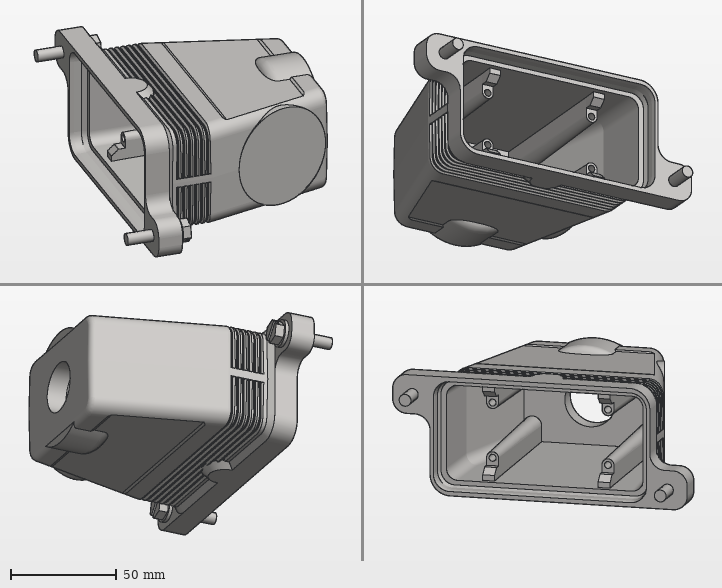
import cadquery as cq
import math

FLANGE_HALF_X = 54.3
FLANGE_HALF_Z = 29.0
FLANGE_THICKNESS = 12.0
FLANGE_CORNER = 10.0
EAR_TIP_X = 72.75
EAR_INNER_Z = 10.0
EAR_CORNER = 7.0
EAR_INNER_CORNER = 7.5

BODY_HALF_X = 51.8
BODY_HALF_Z = 26.2
BODY_FOOT_Y = 8.0
COLLAR_TOP_Y = 35.2
BODY_TOP_Y = 100.0
BODY_TOP_HALF_X = 34.0
BODY_CORNER = 7.0
BODY_TOP_FILLET = 3.0
SIDE_DRAFT = 1.0
BASE_CHAMFER = 2.8

GROOVE_COUNT = 6
GROOVE_PITCH = 3.0
FIRST_GROOVE_Y = 17.8
GROOVE_DEPTH = 1.1
GROOVE_MOUTH_HALF = 1.25
GROOVE_FLOOR_HALF = 0.25
GROOVE_WEB_HALF = 2.2

PANEL_DEPTH = 0.5
PANEL_START_Y = 43.3
PANEL_END_Y = 89.1
PANEL_BEVEL = 1.4

ENTRY_HOLE_RADIUS = 12.5
ENTRY_BOSS_RADIUS = FLANGE_HALF_Z
ENTRY_BOSS_START_Y = 76.9
ENTRY_BOSS_END_Y = 99.3
ENTRY_BOSS_FILLET = 5.7

PAD_RADIUS = 25.2
PAD_CENTRE_Y = 74.0
PAD_HEIGHT = 8.0

CONE_RADIUS = 8.0
CONE_HEIGHT = 3.5

SEAL_SECTIONS = [
    (0.0, 52.6, 26.8, 8.0),
    (2.3, 52.3, 26.4, 7.7),
    (6.0, 52.2, 26.3, 7.6),
    (8.7, 51.2, 25.5, 6.8),
]

LEDGE_Y = SEAL_SECTIONS[-1][0]
CAVITY_BEND_Y = 39.0
CEILING_Y = 90.0
CAVITY_LEDGE_HALF_X = 48.5
CAVITY_BEND_HALF_X = 46.9
CAVITY_CEILING_HALF_X = 32.7
CAVITY_LEDGE_HALF_Z = 23.2
CAVITY_CEILING_HALF_Z = 21.2
CAVITY_CORNER = 5.5

POST_X = 28.5
POST_Z = 13.5
POST_FACE_Y = 18.6
POST_RADIUS = 2.95
POST_DRAFT = 1.3
POST_HOLE_RADIUS = 1.7
POST_HOLE_DEPTH = 10.0
FOOT_END_Y = 11.6
FOOT_RAMP_Y = 15.1
FOOT_STEP_Z = 17.3
FOOT_END_Z = 20.4

SCREW_X = 63.0
SCREW_Z = (FLANGE_HALF_Z + EAR_INNER_Z) / 2
SHANK_RADIUS = 2.9
SHANK_TIP_Y = -13.0
WASHER_RADIUS = 6.65
WASHER_THICKNESS = 1.7
HEAD_ACROSS_FLATS = 10.0
HEAD_HEIGHT = 4.5
HEAD_TURN = 43.0
SLOT_TURN = 90.0
SLOT_WIDTH = 2.0
SLOT_DEPTH = 2.2


def plane_at(y, x=0.0, z=0.0):
    """Sketch plane facing +Y whose local axes are X and -Z."""
    return cq.Workplane(cq.Plane(origin=(x, y, z), xDir=(1, 0, 0), normal=(0, 1, 0)))


def box_between(x_range, y_range, z_range):
    size = [high - low for low, high in (x_range, y_range, z_range)]
    corner = (x_range[0], y_range[0], z_range[0])
    return cq.Workplane().box(*size, centered=False).translate(corner)


def rounded_section(y, half_x, half_z, radius):
    sketch = cq.Sketch().rect(2 * half_x, 2 * half_z).vertices().fillet(radius)
    return sketch.moved(cq.Location(cq.Vector(0, 0, y)))


def stacked(sections):
    """Solid ruled through rounded rectangles stacked along Y."""
    solid = None
    for lower, upper in zip(sections, sections[1:]):
        rise = upper[0] - lower[0]
        start = rounded_section(0, *lower[1:])
        end = rounded_section(rise, *upper[1:])
        layer = plane_at(lower[0]).placeSketch(start, end).loft(ruled=True)
        solid = layer if solid is None else solid.union(layer)
    return solid


def make_ear():
    """Ear on the -X, +Z corner with its concave blend into the flange side."""
    wall_x = -FLANGE_HALF_X
    outline = (
        cq.Workplane("XZ")
        .moveTo(0, FLANGE_HALF_Z)
        .lineTo(-EAR_TIP_X + EAR_CORNER, FLANGE_HALF_Z)
        .radiusArc((-EAR_TIP_X, FLANGE_HALF_Z - EAR_CORNER), -EAR_CORNER)
        .lineTo(-EAR_TIP_X, EAR_INNER_Z + EAR_CORNER)
        .radiusArc((-EAR_TIP_X + EAR_CORNER, EAR_INNER_Z), -EAR_CORNER)
        .lineTo(wall_x - EAR_INNER_CORNER, EAR_INNER_Z)
        .radiusArc((wall_x, EAR_INNER_Z - EAR_INNER_CORNER), EAR_INNER_CORNER)
        .lineTo(0, EAR_INNER_Z - EAR_INNER_CORNER)
        .close()
    )
    return outline.extrude(-FLANGE_THICKNESS)


def make_flange():
    plate = (
        plane_at(0)
        .rect(2 * FLANGE_HALF_X, 2 * FLANGE_HALF_Z)
        .extrude(FLANGE_THICKNESS)
        .edges("|Y")
        .fillet(FLANGE_CORNER)
    )
    ear = make_ear()
    opposite_ear = ear.rotate((0, 0, 0), (0, 1, 0), 180)
    return plate.union(ear).union(opposite_ear)


def make_body():
    """Hood body, drafted both ways from the parting plane Z = 0."""
    half = (
        cq.Workplane("XY")
        .moveTo(-BODY_HALF_X, BODY_FOOT_Y)
        .lineTo(BODY_HALF_X, BODY_FOOT_Y)
        .lineTo(BODY_HALF_X, COLLAR_TOP_Y)
        .lineTo(BODY_TOP_HALF_X, BODY_TOP_Y)
        .lineTo(-BODY_TOP_HALF_X, BODY_TOP_Y)
        .lineTo(-BODY_HALF_X, COLLAR_TOP_Y)
        .close()
        .extrude(BODY_HALF_Z, taper=SIDE_DRAFT)
    )
    half = half.faces(">Z").edges("not |X").fillet(BODY_CORNER)
    half = half.faces(">Y").edges("not(<Z)").fillet(BODY_TOP_FILLET)
    return half.union(half.mirror("XY"))


def make_base_chamfer():
    """Sloped skirt from the flange up to the collar."""
    top_y = FLANGE_THICKNESS + BASE_CHAMFER
    top_half_x = FLANGE_HALF_X - BASE_CHAMFER
    top_corner = FLANGE_CORNER - BASE_CHAMFER
    return stacked([
        (FLANGE_THICKNESS, FLANGE_HALF_X, FLANGE_HALF_Z, FLANGE_CORNER),
        (top_y, top_half_x, BODY_HALF_Z, top_corner),
    ])


def make_groove(y):
    """Cutter for one V groove around the collar, centred at y."""
    mouth = (BODY_HALF_X, BODY_HALF_Z, BODY_CORNER)
    floor = [size - GROOVE_DEPTH for size in mouth]
    core = stacked([
        (y - GROOVE_MOUTH_HALF, *mouth),
        (y - GROOVE_FLOOR_HALF, *floor),
        (y + GROOVE_FLOOR_HALF, *floor),
        (y + GROOVE_MOUTH_HALF, *mouth),
    ])
    start = y - GROOVE_MOUTH_HALF
    blank = plane_at(start).rect(2 * EAR_TIP_X, 2 * EAR_TIP_X).extrude(2 * GROOVE_MOUTH_HALF)
    return blank.cut(core)


def make_grooves():
    """All groove cutters, interrupted by a web at the middle of each narrow side."""
    web = box_between(
        (-EAR_TIP_X, EAR_TIP_X),
        (0, BODY_TOP_Y),
        (-GROOVE_WEB_HALF, GROOVE_WEB_HALF),
    )
    grooves = cq.Workplane()
    for index in range(GROOVE_COUNT):
        grooves = grooves.add(make_groove(FIRST_GROOVE_Y + index * GROOVE_PITCH).cut(web))
    return grooves.combine()


def make_panel_recess():
    """Cutter for the recess with bevelled ends in the +Z face."""
    floor_z = BODY_HALF_Z - PANEL_DEPTH
    return (
        cq.Workplane("YZ")
        .moveTo(PANEL_START_Y, BODY_HALF_Z)
        .lineTo(PANEL_START_Y + PANEL_BEVEL, floor_z)
        .lineTo(PANEL_END_Y - PANEL_BEVEL, floor_z)
        .lineTo(PANEL_END_Y, BODY_HALF_Z)
        .close()
        .extrude(BODY_HALF_X, both=True)
    )


def make_entry_boss():
    length = ENTRY_BOSS_END_Y - ENTRY_BOSS_START_Y
    boss = plane_at(ENTRY_BOSS_START_Y).circle(ENTRY_BOSS_RADIUS).extrude(length)
    return boss.faces("<Y").edges().fillet(ENTRY_BOSS_FILLET)


def make_side_pad():
    lean = (COLLAR_TOP_Y - BODY_TOP_Y) / (BODY_HALF_X - BODY_TOP_HALF_X)
    centre_x = BODY_HALF_X + (PAD_CENTRE_Y - COLLAR_TOP_Y) / lean
    face = cq.Plane(
        origin=(centre_x, PAD_CENTRE_Y, 0),
        xDir=(0, 0, 1),
        normal=(-lean, 1, 0),
    )
    return cq.Workplane(face).circle(PAD_RADIUS).extrude(-PAD_HEIGHT)


def make_cone_boss():
    """45 degree cone sinking from the +Z flange face into the body."""
    return cq.Workplane(
        cq.Solid.makeCone(
            CONE_RADIUS,
            CONE_RADIUS + CONE_HEIGHT,
            CONE_HEIGHT,
            pnt=cq.Vector(0, FLANGE_THICKNESS, FLANGE_HALF_Z),
            dir=cq.Vector(0, 0, -1),
        )
    )


def make_cavity():
    plan = (
        cq.Workplane("XY")
        .moveTo(-CAVITY_LEDGE_HALF_X, LEDGE_Y)
        .lineTo(CAVITY_LEDGE_HALF_X, LEDGE_Y)
        .lineTo(CAVITY_BEND_HALF_X, CAVITY_BEND_Y)
        .lineTo(CAVITY_CEILING_HALF_X, CEILING_Y)
        .lineTo(-CAVITY_CEILING_HALF_X, CEILING_Y)
        .lineTo(-CAVITY_BEND_HALF_X, CAVITY_BEND_Y)
        .close()
        .extrude(CAVITY_LEDGE_HALF_Z, both=True)
    )
    profile = (
        cq.Workplane("YZ")
        .moveTo(LEDGE_Y, -CAVITY_LEDGE_HALF_Z)
        .lineTo(LEDGE_Y, CAVITY_LEDGE_HALF_Z)
        .lineTo(CEILING_Y, CAVITY_CEILING_HALF_Z)
        .lineTo(CEILING_Y, -CAVITY_CEILING_HALF_Z)
        .close()
        .extrude(CAVITY_LEDGE_HALF_X, both=True)
    )
    cavity = plan.intersect(profile)
    return cavity.edges("not(|X or |Z)").fillet(CAVITY_CORNER)


def make_post():
    """Post at +X, +Z: drafted rail with a rounded nose and a ramped foot at the wall."""
    wall_z = CAVITY_LEDGE_HALF_Z
    rail = (
        plane_at(POST_FACE_Y, POST_X, POST_Z)
        .moveTo(-POST_RADIUS, 0)
        .threePointArc((0, POST_RADIUS), (POST_RADIUS, 0))
        .lineTo(POST_RADIUS, POST_Z - wall_z)
        .lineTo(-POST_RADIUS, POST_Z - wall_z)
        .close()
        .extrude(CEILING_Y - POST_FACE_Y, taper=-POST_DRAFT)
    )
    foot = (
        cq.Workplane("YZ", origin=(POST_X, 0, 0))
        .moveTo(POST_FACE_Y, FOOT_STEP_Z)
        .lineTo(FOOT_RAMP_Y, FOOT_STEP_Z)
        .lineTo(FOOT_END_Y, FOOT_END_Z)
        .lineTo(FOOT_END_Y, wall_z)
        .lineTo(POST_FACE_Y, wall_z)
        .close()
        .extrude(POST_RADIUS, both=True)
    )
    hole = plane_at(POST_FACE_Y, POST_X, POST_Z).circle(POST_HOLE_RADIUS).extrude(POST_HOLE_DEPTH)
    return rail.union(foot).cut(hole)


def make_screw():
    """Hexagon-head screw with washer and a driver slot, on the Y axis."""
    washer_top = FLANGE_THICKNESS + WASHER_THICKNESS
    shank = plane_at(SHANK_TIP_Y).circle(SHANK_RADIUS).extrude(washer_top - SHANK_TIP_Y)
    washer = plane_at(FLANGE_THICKNESS).circle(WASHER_RADIUS).extrude(WASHER_THICKNESS)
    across_corners = HEAD_ACROSS_FLATS / math.cos(math.pi / 6)
    head = plane_at(washer_top).polygon(6, across_corners).extrude(HEAD_HEIGHT)
    slot = (
        plane_at(washer_top + HEAD_HEIGHT)
        .transformed(rotate=(0, 0, SLOT_TURN))
        .rect(2 * across_corners, SLOT_WIDTH)
        .extrude(-SLOT_DEPTH)
    )
    head = head.cut(slot).rotate((0, 0, 0), (0, 1, 0), -HEAD_TURN)
    return shank.union(washer).union(head)


def make_outside():
    outside = make_body().cut(make_grooves())
    recess = make_panel_recess()
    cone = make_cone_boss()
    outside = outside.cut(recess).cut(recess.mirror("XY"))
    outside = outside.union(make_flange()).union(make_base_chamfer())
    outside = outside.union(cone).union(cone.mirror("XY"))
    return outside.union(make_entry_boss()).union(make_side_pad())


def make_inside():
    """Everything removed from the outside shape, leaving the posts standing."""
    cavity = make_cavity()
    post = make_post()
    for solid in (post, post.mirror("YZ")):
        cavity = cavity.cut(solid).cut(solid.mirror("XY"))
    entry = plane_at(POST_FACE_Y).circle(ENTRY_HOLE_RADIUS).extrude(BODY_TOP_Y)
    return cavity.union(stacked(SEAL_SECTIONS)).union(entry)


result = make_outside().cut(make_inside())
screw = make_screw()
for side in (-1, 1):
    result = result.union(screw.translate((side * SCREW_X, 0, -side * SCREW_Z)))